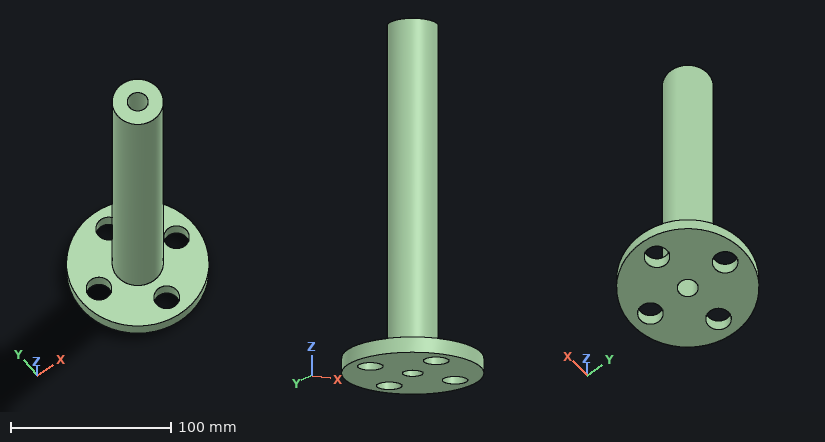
import cadquery as cq

total_height = 227.0
flange_diameter = 89.0
flange_thickness = 10.0

tube_diameter = 32.0
bore_diameter = 13.0

bolt_count = 4
bolt_hole_diameter = 16.0
bolt_circle_diameter = 60.4


def make_flange():
    """Round flange resting on Z = 0, with bolt holes on the X and Y axes."""
    disc = cq.Workplane("XY").circle(flange_diameter / 2).extrude(flange_thickness)
    holes = (
        cq.Workplane("XY")
        .polarArray(bolt_circle_diameter / 2, 0, 360, bolt_count)
        .circle(bolt_hole_diameter / 2)
        .extrude(flange_thickness)
    )
    return disc.cut(holes)


def make_tube():
    """Solid stem over the full height of the part."""
    return cq.Workplane("XY").circle(tube_diameter / 2).extrude(total_height)


def make_bore():
    """Bore that passes through the tube and the flange."""
    return cq.Workplane("XY").circle(bore_diameter / 2).extrude(total_height)


result = make_flange().union(make_tube()).cut(make_bore())